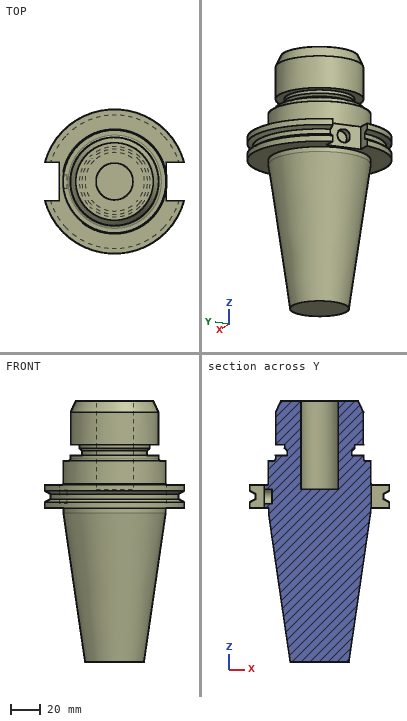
import cadquery as cq
import math


gauge_diameter = 69.85
shank_length = 101.6
taper_ratio = 7 / 24
shank_tip_diameter = gauge_diameter - shank_length * taper_ratio

flange_diameter = 98.425
flange_bottom = 3.175
flange_width = 15.875
flange_top = flange_bottom + flange_width
flange_middle = flange_bottom + flange_width / 2
groove_floor_diameter = 91.2
groove_floor_width = 3.4
groove_flank_angle = 30.0
groove_depth = (flange_diameter - groove_floor_diameter) / 2
groove_mouth_width = groove_floor_width + 2 * groove_depth * math.tan(math.radians(groove_flank_angle))

slot_width = 25.9
slot_floor_minus_x = 37.7
slot_floor_plus_x = 35.3
dimple_diameter = 9.5
dimple_depth = 5.3

body_diameter = 70.1
body_top = 35.3
body_base_fillet = 0.6
collar_diameter = 60.3
collar_top = 39.2
collar_fillet = 1.6

lower_neck_diameter = 44.5
lower_neck_top = 42.2
upper_neck_diameter = 48.0
upper_neck_bottom = lower_neck_top + (upper_neck_diameter - lower_neck_diameter) / 2

nut_diameter = 60.0
nut_top = 76.2
nut_height = 30.0
nut_bottom = nut_top - nut_height
nut_face_diameter = 52.8
nut_bevel_height = 7.6
bore_diameter = 25.2
bore_depth = 60.0


def fillet_arc(profile, corner_radius, corner_z, fillet):
    """Concave quarter round from a vertical wall down onto the shoulder below it."""
    inset = fillet * (1 - math.sqrt(0.5))
    middle = (corner_radius + inset, corner_z + inset)
    return profile.threePointArc(middle, (corner_radius + fillet, corner_z))


def nut_and_neck_profile():
    """Half section from the nut face down to the collar, drawn in radius and Z."""
    return (
        cq.Workplane("XZ")
        .moveTo(0, nut_top)
        .lineTo(nut_face_diameter / 2, nut_top)
        .lineTo(nut_diameter / 2, nut_top - nut_bevel_height)
        .lineTo(nut_diameter / 2, nut_bottom)
        .lineTo(upper_neck_diameter / 2, nut_bottom)
        .lineTo(upper_neck_diameter / 2, upper_neck_bottom)
        .lineTo(lower_neck_diameter / 2, lower_neck_top)
        .lineTo(lower_neck_diameter / 2, collar_top)
        .lineTo(collar_diameter / 2, collar_top)
    )


def revolved_holder():
    """Solid of revolution holding the nut, neck, collar, body, flange and shank."""
    profile = nut_and_neck_profile().lineTo(collar_diameter / 2, body_top + collar_fillet)
    profile = fillet_arc(profile, collar_diameter / 2, body_top, collar_fillet)
    profile = profile.lineTo(body_diameter / 2, body_top)
    profile = profile.lineTo(body_diameter / 2, flange_top + body_base_fillet)
    profile = fillet_arc(profile, body_diameter / 2, flange_top, body_base_fillet)
    profile = (
        profile
        .lineTo(flange_diameter / 2, flange_top)
        .lineTo(flange_diameter / 2, flange_middle + groove_mouth_width / 2)
        .lineTo(groove_floor_diameter / 2, flange_middle + groove_floor_width / 2)
        .lineTo(groove_floor_diameter / 2, flange_middle - groove_floor_width / 2)
        .lineTo(flange_diameter / 2, flange_middle - groove_mouth_width / 2)
        .lineTo(flange_diameter / 2, flange_bottom)
        .lineTo(gauge_diameter / 2, flange_bottom)
        .lineTo(gauge_diameter / 2, 0)
        .lineTo(shank_tip_diameter / 2, -shank_length)
        .lineTo(0, -shank_length)
        .close()
    )
    return profile.revolve(360, (0, 0), (0, 1))


def drive_slot(direction, floor_distance):
    """Cutter for the slot on one side; direction is -1 or +1 along X."""
    radial_length = flange_diameter / 2
    return cq.Workplane("XY").box(radial_length, slot_width, flange_width).translate(
        (direction * (floor_distance + radial_length / 2), 0, flange_middle)
    )


def slot_dimple():
    """Cutter for the blind radial hole in the floor of the -X slot."""
    return (
        cq.Workplane("YZ", origin=(-slot_floor_minus_x, 0, flange_middle))
        .circle(dimple_diameter / 2)
        .extrude(dimple_depth)
    )


def collet_bore():
    """Cutter for the blind bore entering through the nut face."""
    return (
        cq.Workplane("XY", origin=(0, 0, nut_top))
        .circle(bore_diameter / 2)
        .extrude(-bore_depth)
    )


result = (
    revolved_holder()
    .cut(drive_slot(-1, slot_floor_minus_x))
    .cut(drive_slot(1, slot_floor_plus_x))
    .cut(slot_dimple())
    .cut(collet_bore())
)